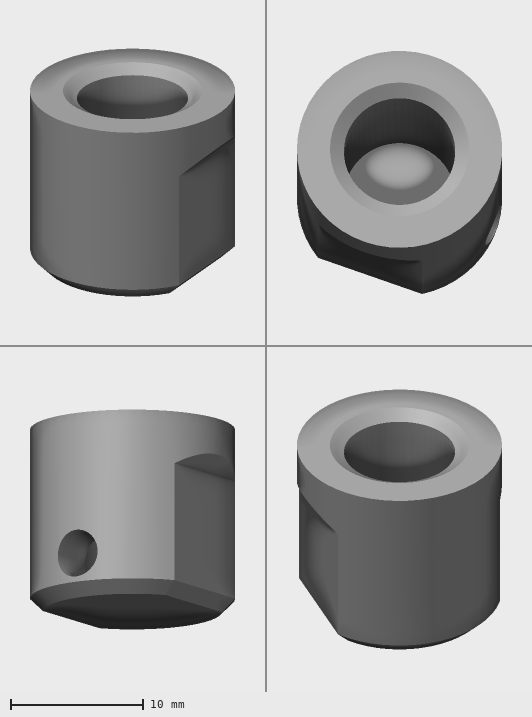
import cadquery as cq
import math

outer_diameter = 15.5
height = 14.0
bottom_chamfer = 0.99

across_flats = 13.05
flat_height = 10.0

bore_diameter = 8.4
countersink_diameter = 10.51
countersink_angle = 120.0

side_hole_diameter = 3.6
side_hole_height = 3.2

outer_radius = outer_diameter / 2
half_flats = across_flats / 2
bore_floor = side_hole_height - side_hole_diameter / 2


def make_body():
    """Cylinder cut to the flats profile, chamfered all round its bottom."""
    runout = outer_radius - half_flats
    profile = (
        cq.Workplane("XZ")
        .moveTo(-half_flats, 0)
        .lineTo(half_flats, 0)
        .lineTo(half_flats, flat_height)
        .lineTo(outer_radius, flat_height + runout)
        .lineTo(outer_radius, height)
        .lineTo(-outer_radius, height)
        .lineTo(-outer_radius, flat_height + runout)
        .lineTo(-half_flats, flat_height)
        .close()
        .extrude(outer_radius, both=True)
    )
    cylinder = cq.Workplane("XY").circle(outer_radius).extrude(height)
    return cylinder.intersect(profile).faces("<Z").edges().chamfer(bottom_chamfer)


def make_bore():
    """Bore and countersink as one turned cutter."""
    bore_radius = bore_diameter / 2
    countersink_radius = countersink_diameter / 2
    half_angle = math.radians(countersink_angle / 2)
    countersink_depth = (countersink_radius - bore_radius) / math.tan(half_angle)
    return (
        cq.Workplane("XZ")
        .moveTo(0, bore_floor)
        .lineTo(bore_radius, bore_floor)
        .lineTo(bore_radius, height - countersink_depth)
        .lineTo(countersink_radius, height)
        .lineTo(0, height)
        .close()
        .revolve(360, (0, 0, 0), (0, 1, 0))
    )


def make_side_hole():
    """Radial cutter from the axis out through the +Y wall."""
    return (
        cq.Workplane("XZ")
        .center(0, side_hole_height)
        .circle(side_hole_diameter / 2)
        .extrude(-outer_radius)
    )


result = make_body().cut(make_bore()).cut(make_side_hole())